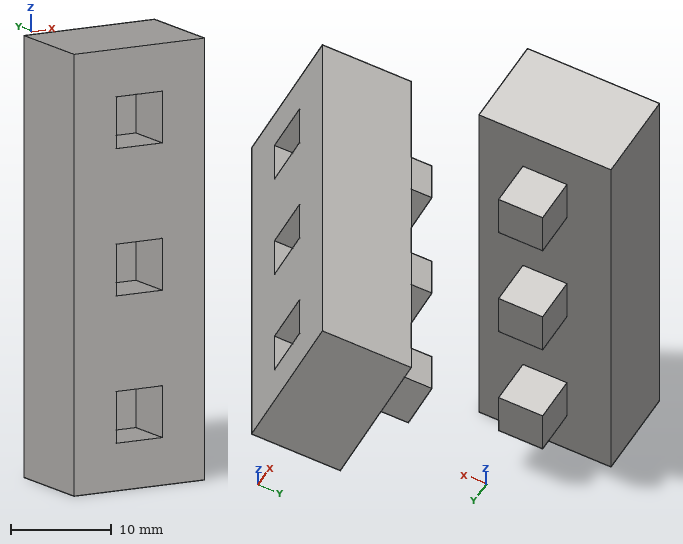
import cadquery as cq

length = 45.0
cell_count = 3
peg_clearance = 0.25

cell = length / cell_count
peg_side = cell / 3
peg_length = cell / 3
body_depth = cell - peg_length
socket_side = peg_side + peg_clearance
socket_depth = peg_length + peg_clearance

front_y = -cell / 2
back_y = front_y + body_depth


def square_bar(side, start_y, bar_length, center_z):
    """Square bar centred on X = 0, running toward +Y from start_y."""
    return (
        cq.Workplane("XY")
        .box(side, bar_length, side, centered=(True, False, True))
        .translate((0, start_y, center_z))
    )


result = (
    cq.Workplane("XY")
    .box(cell, body_depth, length, centered=(True, False, True))
    .translate((0, front_y, 0))
)

for index in range(cell_count):
    center_z = (index + 0.5) * cell - length / 2
    result = result.cut(square_bar(socket_side, front_y, socket_depth, center_z))
    result = result.union(square_bar(peg_side, back_y, peg_length, center_z))